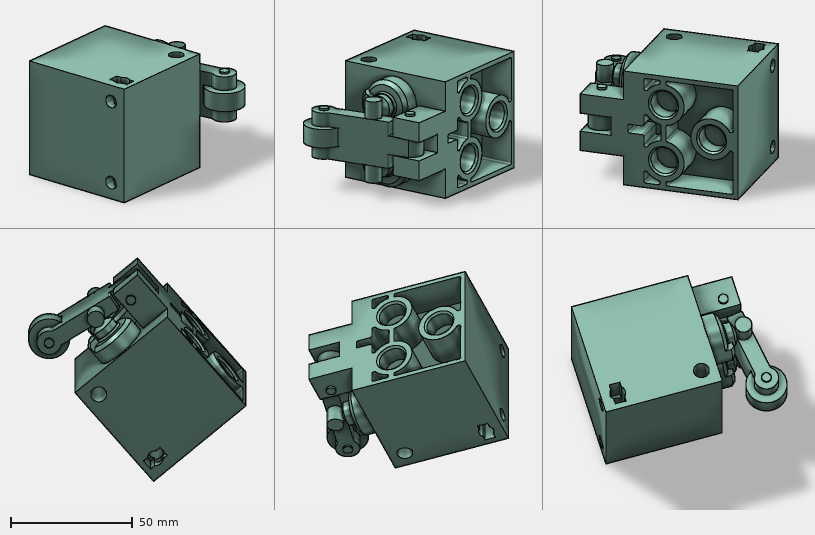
import cadquery as cq
import math

overall_x = 55.5
overall_y = 78.3
body_x = 49.95
body_y = 49.95
body_z = 50.4
wall = 2.0

port_y = 32.5
port_z = 12.5
front_port_y = 11.5
port_bore_dia = 11.4
port_mouth_dia = 13.1
port_mouth_depth = 0.95
port_depth = 8.0
port_boss_dia = 18.0
recess_depth = 14.8
recess_fillet = 0.9
rear_recess_end_y = 41.0
corner_recess_start_y = 33.9
key_slot_end_y = 48.0
key_slot_width = 3.8
front_rib_width = 8.3
front_rib_end_y = 5.5

mount_dia = 6.4
mount_x = 43.0
mount_y_front = 7.1
mount_y_rear = 43.1
nut_pocket_x = 8.9
nut_pocket_y = 4.55
nut_pocket_depth = 11.75
screw_dia = 5.5
screw_z = 18.0

guide_x = body_x / 2
guide_radius = 10.5
guide_shoulder_y = 56.0
guide_top_y = 57.6
guide_chamfer = 1.65
collar_bottom_radius = 5.9
collar_top_radius = 5.3
collar_top_y = 58.65
plunger_radius = 5.0
plunger_shoulder_y = 61.6
plunger_tip_y = 63.35
rim_top_y = 60.2
rim_chamfer = 1.6
rim_angle = 60.0

bracket_x = 13.1
bracket_end_y = 68.9
bracket_z = 25.05
slot_width = 8.0
slot_floor_y = 55.4

lever_angle = 8.0
lever_width = 7.0
fork_z = 20.05
fork_eye_dia = 10.0
fork_eye_fillet = 1.2
arm_length = 31.8
arm_corner_fillet = 0.6
roller_dia = 17.0
roller_clearance = 0.5
pivot_along = 38.7
pivot_drop = 1.9
hub_dia = 11.4
pin_dia = 4.0
pivot_pin_z = 27.1
roller_pin_z = 21.8
push_pin_dia = 7.0
push_pin_along = 22.8
push_pin_z = 35.2

roller_x = overall_x - roller_dia / 2
roller_y = overall_y - roller_dia / 2


def box(x0, x1, y0, y1, z0, z1):
    return cq.Workplane("XY").box(x1 - x0, y1 - y0, z1 - z0, centered=False).translate((x0, y0, z0))


def z_cylinder(x, y, diameter, height):
    """Cylinder along Z, centred on Z = 0."""
    return cq.Workplane("XY").center(x, y).circle(diameter / 2).extrude(height / 2, both=True)


def x_cylinder(y, z, diameter, depth):
    """Cylinder running into the body from the -X face."""
    return cq.Workplane("YZ").center(y, z).circle(diameter / 2).extrude(depth)


port_centers = [(port_y, port_z), (port_y, -port_z), (front_port_y, 0)]


def recess(*blocks):
    """Join blocks, leave the port bosses standing and round the upright corners."""
    shape = blocks[0]
    for block in blocks[1:]:
        shape = shape.union(block)
    for y, z in port_centers:
        shape = shape.cut(x_cylinder(y, z, port_boss_dia, recess_depth))
    return shape.edges("|X").fillet(recess_fillet)


def recesses():
    """Main recess, keyed centre recess and two small corner recesses."""
    inner_z = body_z / 2 - wall
    main = box(0, recess_depth, wall, port_y - wall / 2, -inner_z, inner_z)
    rib = box(0, recess_depth, 0, front_rib_end_y, -front_rib_width / 2, front_rib_width / 2)
    main = main.cut(rib)
    center = box(0, recess_depth, port_y + wall / 2, rear_recess_end_y, -port_z, port_z)
    key = box(0, recess_depth, port_y + wall / 2, key_slot_end_y, -key_slot_width / 2, key_slot_width / 2)
    shape = recess(main).union(recess(center, key))
    for z0, z1 in ((port_z, inner_z), (-inner_z, -port_z)):
        corner = box(0, recess_depth, corner_recess_start_y, rear_recess_end_y, z0, z1)
        shape = shape.union(recess(corner))
    return shape


def port(y, z):
    """Blind bore with a conical mouth."""
    mouth = cq.Solid.makeCone(
        port_mouth_dia / 2, port_bore_dia / 2, port_mouth_depth, cq.Vector(0, y, z), cq.Vector(1, 0, 0)
    )
    return x_cylinder(y, z, port_bore_dia, port_depth).union(cq.Workplane(mouth))


def nut_pocket(side):
    """Rectangular pocket in the top (side = 1) or bottom (side = -1) face."""
    z_middle = side * (body_z - nut_pocket_depth) / 2
    return (
        cq.Workplane("XY").box(nut_pocket_x, nut_pocket_y, nut_pocket_depth)
        .translate((mount_x, mount_y_front, z_middle))
    )


def screw_hole(side):
    """Hole from the front face to the far side of the nut pocket."""
    hole_depth = mount_y_front + nut_pocket_y / 2
    return (
        cq.Workplane("XZ").center(mount_x, side * screw_z)
        .circle(screw_dia / 2).extrude(-hole_depth)
    )


def body():
    shape = box(0, body_x, 0, body_y, -body_z / 2, body_z / 2).cut(recesses())
    for y, z in port_centers:
        shape = shape.cut(port(y, z))
    for y in (mount_y_front, mount_y_rear):
        shape = shape.cut(z_cylinder(mount_x, y, mount_dia, body_z))
    for side in (1, -1):
        shape = shape.cut(nut_pocket(side)).cut(screw_hole(side))
    return shape


def plunger_guide(z):
    """Guide, collar and domed plunger, with a raised rim sector facing +X."""
    dome_height = plunger_tip_y - plunger_shoulder_y
    dome_radius = (plunger_radius**2 + dome_height**2) / (2 * dome_height)
    dome_mid_r = dome_radius * math.sin(math.asin(plunger_radius / dome_radius) / 2)
    dome_mid_y = plunger_tip_y - dome_radius + math.sqrt(dome_radius**2 - dome_mid_r**2)
    turned = (
        cq.Workplane("XY").moveTo(0, body_y)
        .lineTo(guide_radius, body_y)
        .lineTo(guide_radius, guide_shoulder_y)
        .lineTo(guide_radius - guide_chamfer, guide_top_y)
        .lineTo(collar_bottom_radius, guide_top_y)
        .lineTo(collar_top_radius, collar_top_y)
        .lineTo(plunger_radius, collar_top_y)
        .lineTo(plunger_radius, plunger_shoulder_y)
        .threePointArc((dome_mid_r, dome_mid_y), (0, plunger_tip_y))
        .close().revolve(360, (0, 0), (0, 1))
    )
    rim = (
        cq.Workplane("XY").moveTo(collar_bottom_radius, body_y)
        .lineTo(guide_radius, body_y)
        .lineTo(guide_radius, rim_top_y - rim_chamfer)
        .lineTo(guide_radius - rim_chamfer, rim_top_y)
        .lineTo(collar_bottom_radius, rim_top_y)
        .close().revolve(rim_angle, (0, 0), (0, 1))
        .rotate((0, 0, 0), (0, 1, 0), -rim_angle / 2)
    )
    return turned.union(rim).translate((guide_x, 0, z))


def bracket():
    block = box(0, bracket_x, body_y, bracket_end_y, -bracket_z / 2, bracket_z / 2)
    slot = box(0, bracket_x, slot_floor_y, bracket_end_y, -slot_width / 2, slot_width / 2)
    return block.cut(slot)


def lever():
    """Lever, roller and pins, drawn level around the roller axis and then tilted."""
    half_width = lever_width / 2
    half_fork = fork_z / 2
    half_slot = slot_width / 2

    fork = box(-arm_length, 0, -half_width, half_width, -half_fork, half_fork)
    fork = fork.edges("|Z and <X").fillet(arm_corner_fillet)
    fork = fork.union(z_cylinder(0, 0, fork_eye_dia, fork_z))
    eye_corner_x = -math.sqrt((fork_eye_dia / 2) ** 2 - half_width**2)
    margin = 0.1
    corner_zone = cq.selectors.BoxSelector(
        (eye_corner_x - margin, -lever_width, -half_fork),
        (eye_corner_x + margin, lever_width, half_fork),
    )
    fork = fork.edges("|Z").edges(corner_zone).fillet(fork_eye_fillet)

    web = box(-pivot_along, -arm_length / 2, -half_width, half_width, -half_slot, half_slot)
    hub = z_cylinder(-pivot_along, -pivot_drop, hub_dia, slot_width)
    above_web = box(-pivot_along - hub_dia, 0, half_width, hub_dia, -half_slot, half_slot)
    hub = hub.cut(above_web)
    roller_gap = z_cylinder(0, 0, roller_dia + 2 * roller_clearance, slot_width)
    shape = fork.union(web).union(hub).cut(roller_gap)

    for turned_part in (
        z_cylinder(0, 0, roller_dia, slot_width),
        z_cylinder(0, 0, pin_dia, roller_pin_z),
        z_cylinder(-push_pin_along, 0, push_pin_dia, push_pin_z),
        z_cylinder(-pivot_along, -pivot_drop, pin_dia, pivot_pin_z),
    ):
        shape = shape.union(turned_part)
    return shape.rotate((0, 0, 0), (0, 0, 1), lever_angle).translate((roller_x, roller_y, 0))


result = body().union(bracket())
for guide_z in (port_z, -port_z):
    result = result.union(plunger_guide(guide_z))
result = result.union(lever())